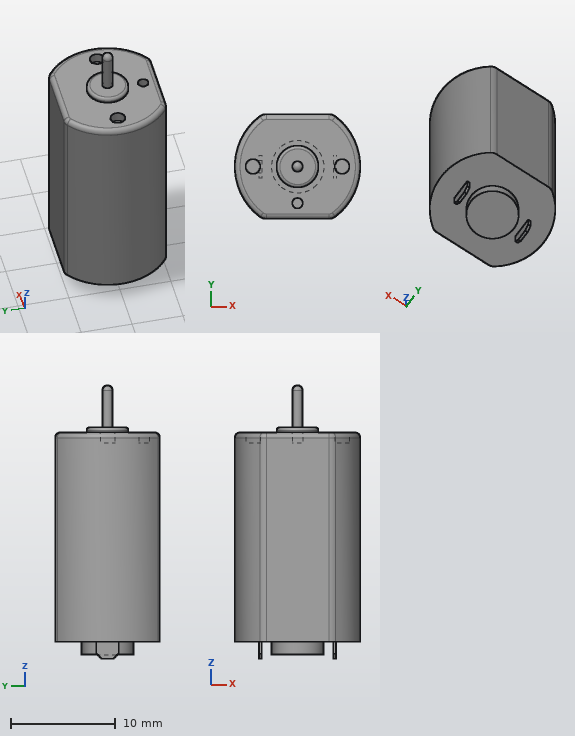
import cadquery as cq
import math

CAN_DIAMETER = 12.0
CAN_WIDTH_ACROSS_FLATS = 10.0
CAN_HEIGHT = 20.0
CAN_CORNER_RADIUS = 1.0
CAN_TOP_FILLET = 0.5

BEARING_DIAMETER = 4.0
BEARING_HEIGHT = 0.5
BEARING_FILLET = 0.3
SHAFT_DIAMETER = 1.0
SHAFT_LENGTH = 4.5

MOUNT_HOLE_DIAMETER = 1.4
MOUNT_HOLE_OFFSET = 4.25
LOCATING_HOLE_DIAMETER = 1.0
LOCATING_HOLE_OFFSET = 3.5
HOLE_DEPTH = 1.0

REAR_BOSS_DIAMETER = 5.0
REAR_BOSS_HEIGHT = 1.2
TERMINAL_OFFSET = 3.54
TERMINAL_THICKNESS = 0.28
TERMINAL_WIDTH = 2.15
TERMINAL_LENGTH = 1.6
TERMINAL_CHAMFER = 0.5


def make_can():
    """Flat-sided can with rounded vertical corners and a rounded top rim."""
    radius = CAN_DIAMETER / 2
    flat_y = CAN_WIDTH_ACROSS_FLATS / 2
    corner_x = math.sqrt(radius**2 - flat_y**2)
    can = (
        cq.Workplane("XY")
        .moveTo(-corner_x, -flat_y)
        .lineTo(corner_x, -flat_y)
        .threePointArc((radius, 0), (corner_x, flat_y))
        .lineTo(-corner_x, flat_y)
        .threePointArc((-radius, 0), (-corner_x, -flat_y))
        .close()
        .extrude(CAN_HEIGHT)
    )
    can = can.edges("|Z").fillet(CAN_CORNER_RADIUS)
    return can.faces(">Z").edges().fillet(CAN_TOP_FILLET)


def make_bearing_boss():
    boss = cq.Workplane("XY", origin=(0, 0, CAN_HEIGHT))
    boss = boss.circle(BEARING_DIAMETER / 2).extrude(BEARING_HEIGHT)
    return boss.faces(">Z").edges().fillet(BEARING_FILLET)


def make_shaft():
    """Round shaft ending in a hemispherical tip, as a profile turned about Z."""
    radius = SHAFT_DIAMETER / 2
    tip_z = CAN_HEIGHT + SHAFT_LENGTH
    dome_z = tip_z - radius
    dome_mid = (radius * math.sin(math.pi / 4), dome_z + radius * math.cos(math.pi / 4))
    return (
        cq.Workplane("XZ")
        .moveTo(0, CAN_HEIGHT)
        .lineTo(radius, CAN_HEIGHT)
        .lineTo(radius, dome_z)
        .threePointArc(dome_mid, (0, tip_z))
        .close()
        .revolve(360, (0, 0, 0), (0, 1, 0))
    )


def make_rear_boss():
    return cq.Workplane("XY").circle(REAR_BOSS_DIAMETER / 2).extrude(-REAR_BOSS_HEIGHT)


def make_terminal(x):
    """Thin tab normal to X, centred at x, with its two lower corners chamfered."""
    tab = cq.Workplane("XY", origin=(x, 0, 0))
    tab = tab.rect(TERMINAL_THICKNESS, TERMINAL_WIDTH).extrude(-TERMINAL_LENGTH)
    return tab.faces("<Z").edges("|X").chamfer(TERMINAL_CHAMFER)


def cut_top_hole(body, x, y, diameter):
    hole = cq.Workplane("XY", origin=(x, y, CAN_HEIGHT))
    return body.cut(hole.circle(diameter / 2).extrude(-HOLE_DEPTH))


motor = make_can().union(make_bearing_boss()).union(make_shaft()).union(make_rear_boss())
for side in (-1, 1):
    motor = motor.union(make_terminal(side * TERMINAL_OFFSET))
    motor = cut_top_hole(motor, side * MOUNT_HOLE_OFFSET, 0, MOUNT_HOLE_DIAMETER)
motor = cut_top_hole(motor, 0, -LOCATING_HOLE_OFFSET, LOCATING_HOLE_DIAMETER)

result = motor